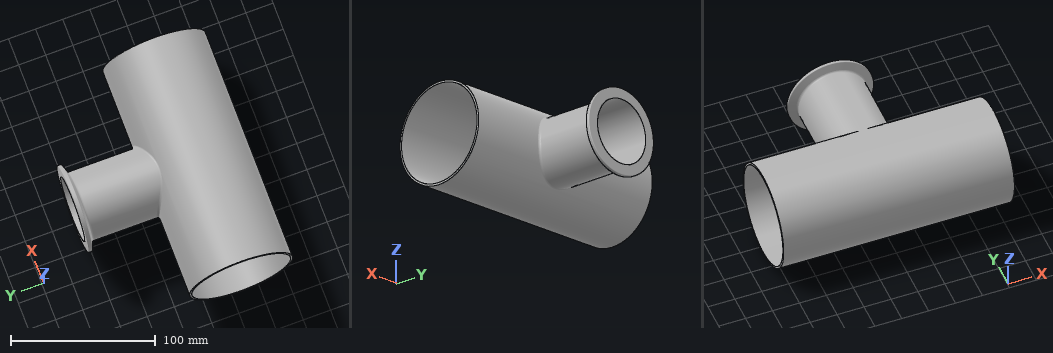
import cadquery as cq
import math

run_length = 171.5
run_diameter = 76.1
wall = 1.63
run_radius = run_diameter / 2
run_bore_radius = run_radius - wall

overall_depth = 130.1
branch_diameter = 50.7
branch_radius = branch_diameter / 2
branch_bore_radius = branch_radius - wall
face_y = overall_depth - run_radius
weld_radius = 1.5

flange_diameter = 64.0
flange_radius = flange_diameter / 2
flange_rim = 3.0
rim_round = 0.5
taper_angle = math.radians(20)
neck_fillet = 1.5


def run_cylinder(radius):
    """Cylinder along X over the full length of the main tube."""
    return cq.Workplane("YZ").circle(radius).extrude(run_length / 2, both=True)


def make_branch():
    """Solid branch tube and ferrule: rounded rim, tapered back and filleted neck."""
    rim_back_y = face_y - flange_rim
    taper_drop = (flange_radius - branch_radius) * math.tan(taper_angle)
    neck_y = rim_back_y - taper_drop
    branch = (
        cq.Workplane("XY")
        .lineTo(0, face_y)
        .lineTo(flange_radius, face_y)
        .lineTo(flange_radius, rim_back_y)
        .lineTo(branch_radius, neck_y)
        .lineTo(branch_radius, 0)
        .close()
        .revolve(360, (0, 0, 0), (0, 1, 0))
    )
    rim_edges = cq.selectors.RadiusNthSelector(-1)
    neck_edge = cq.selectors.BoxSelector(
        (-flange_radius, neck_y - rim_round, -flange_radius),
        (flange_radius, neck_y + rim_round, flange_radius),
    )
    branch = branch.edges(neck_edge).fillet(neck_fillet)
    return branch.edges(rim_edges).fillet(rim_round)


def weld(tee):
    """Fillet the saddle-shaped joint between the branch and the main tube."""
    joint = cq.selectors.BoxSelector(
        (-branch_diameter, 0, -branch_diameter),
        (branch_diameter, run_radius + weld_radius, branch_diameter),
    )
    return tee.edges(joint).edges("not %LINE").fillet(weld_radius)


branch_bore = cq.Workplane("XZ").circle(branch_bore_radius).extrude(-face_y)
solid_tee = weld(run_cylinder(run_radius).union(make_branch()))

result = solid_tee.cut(run_cylinder(run_bore_radius)).cut(branch_bore)